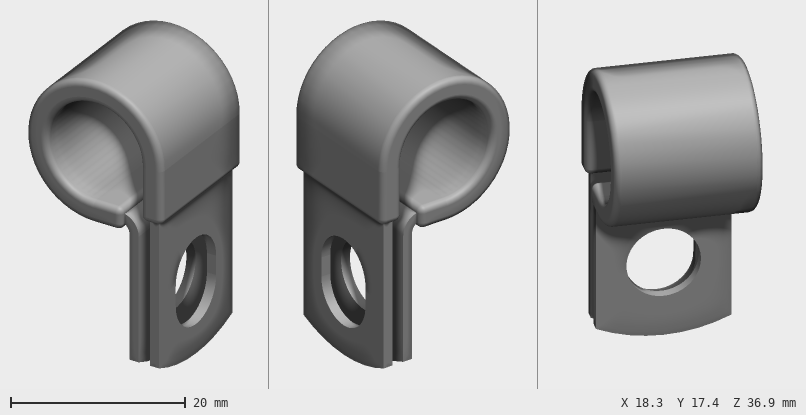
import cadquery as cq
import math


total_height = 36.85
loop_diameter = 18.3
cushion_width = 17.45
strap_thickness = 1.25
cushion_cover = 0.792
edge_radius = 0.77
side_leg_length = 7.08
bottom_leg_length = 3.72
inner_tab_x = 5.6
hole_diameter = 8.75
hole_z = -18.25
slot_length = 11.25
tip_rise = 1.7

outer_radius = loop_diameter / 2
inner_radius = outer_radius - strap_thickness - 2 * cushion_cover
strap_outer_radius = outer_radius - cushion_cover
strap_inner_radius = inner_radius + cushion_cover
strap_width = cushion_width - 2 * cushion_cover
bend_inner_radius = strap_thickness
bend_outer_radius = bend_inner_radius + strap_thickness
bend_x = inner_tab_x - bend_outer_radius
bend_z = -strap_inner_radius - bend_outer_radius
gap_middle_x = (inner_tab_x + strap_inner_radius) / 2
tab_bottom = outer_radius - total_height


def diagonal(radius, x_sign, z_sign):
    """Point at 45 degrees on a circle about the origin."""
    offset = radius * math.sqrt(0.5)
    return x_sign * offset, z_sign * offset


def make_cushion():
    """Three-quarter loop with two straight legs and rounded edges."""
    profile = (
        cq.Workplane("XZ")
        .moveTo(outer_radius, -side_leg_length)
        .lineTo(outer_radius, 0)
        .threePointArc(diagonal(outer_radius, -1, 1), (0, -outer_radius))
        .lineTo(bottom_leg_length, -outer_radius)
        .lineTo(bottom_leg_length, -inner_radius)
        .lineTo(0, -inner_radius)
        .threePointArc(diagonal(inner_radius, -1, 1), (inner_radius, 0))
        .lineTo(inner_radius, -side_leg_length)
        .close()
    )
    body = profile.extrude(cushion_width / 2, both=True)
    side_leg_end = cq.selectors.NearestToPointSelector((strap_outer_radius, 0, -side_leg_length))
    bottom_leg_end = cq.selectors.NearestToPointSelector((bottom_leg_length, 0, -strap_outer_radius))
    rounded_faces = body.faces("|Y").add(body.faces(side_leg_end)).add(body.faces(bottom_leg_end))
    return rounded_faces.edges().fillet(edge_radius)


def make_strap():
    """Strap that follows the loop, with one straight and one bent tab."""
    bend_mid = math.sqrt(0.5)
    return (
        cq.Workplane("XZ")
        .moveTo(strap_outer_radius, tab_bottom)
        .lineTo(strap_outer_radius, 0)
        .threePointArc(diagonal(strap_outer_radius, -1, 1), (0, -strap_outer_radius))
        .lineTo(bend_x, -strap_outer_radius)
        .threePointArc(
            (bend_x + bend_inner_radius * bend_mid, bend_z + bend_inner_radius * bend_mid),
            (bend_x + bend_inner_radius, bend_z),
        )
        .lineTo(bend_x + bend_inner_radius, tab_bottom)
        .lineTo(inner_tab_x, tab_bottom)
        .lineTo(inner_tab_x, bend_z)
        .threePointArc(
            (bend_x + bend_outer_radius * bend_mid, bend_z + bend_outer_radius * bend_mid),
            (bend_x, -strap_inner_radius),
        )
        .lineTo(0, -strap_inner_radius)
        .threePointArc(diagonal(strap_inner_radius, -1, 1), (strap_inner_radius, 0))
        .lineTo(strap_inner_radius, tab_bottom)
        .close()
        .extrude(strap_width / 2, both=True)
    )


def make_tab_outline():
    """Strap-wide block along X with a curved lower end, used to trim the tabs."""
    half_width = strap_width / 2
    corner_z = tab_bottom + tip_rise
    return (
        cq.Workplane("YZ")
        .moveTo(-half_width, outer_radius)
        .lineTo(-half_width, corner_z)
        .threePointArc((0, tab_bottom), (half_width, corner_z))
        .lineTo(half_width, outer_radius)
        .close()
        .extrude(outer_radius, both=True)
    )


def make_round_hole():
    """Bolt hole through the bent tab only."""
    return (
        cq.Workplane("YZ")
        .center(0, hole_z)
        .circle(hole_diameter / 2)
        .extrude(gap_middle_x)
    )


def make_slotted_hole():
    """Vertical slot through the straight tab only, as wide as the bolt hole."""
    return (
        cq.Workplane("YZ", origin=(gap_middle_x, 0, hole_z))
        .slot2D(slot_length, hole_diameter, 90)
        .extrude(outer_radius - gap_middle_x)
    )


strap = make_strap().intersect(make_tab_outline())
strap = strap.cut(make_round_hole()).cut(make_slotted_hole())
result = make_cushion().union(strap)